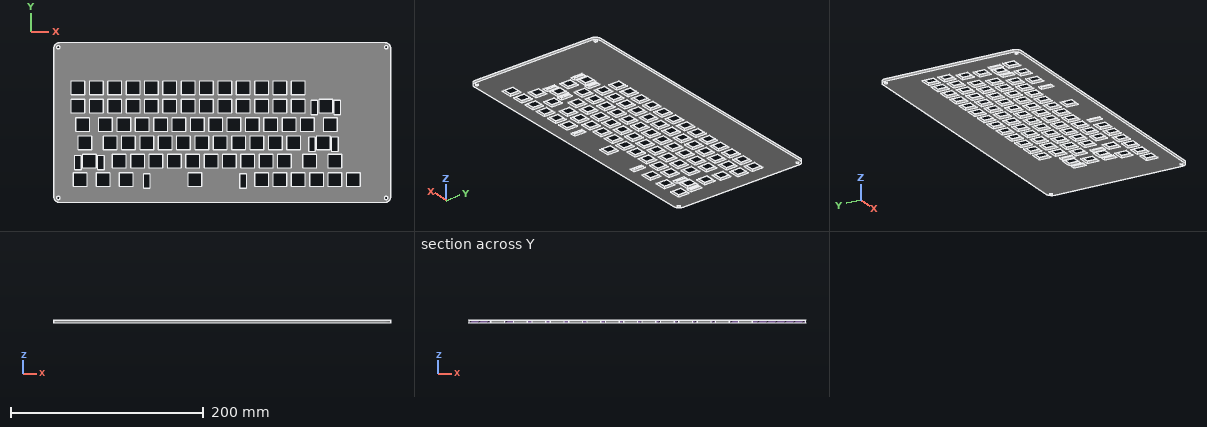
import cadquery as cq

plate_length = 350.2
plate_width = 166.5
plate_thickness = 3.0
corner_radius = 6.5

screw_hole_diameter = 3.4
screw_hole_inset = 5.0

top_row_keys = 13
top_row_span = 228.7
key_pitch = top_row_span / (top_row_keys - 1)
switch_opening = 14.0
grid_left = -159.5
top_row_y = 36.0

slot_width = 6.5
slot_height = 14.7
slot_drop = 1.5
wide_key_slot_offset = 12.0
space_bar_slot_offset = 50.0
space_bar_units = 6.25
stabilized_units = 2.0

key_rows = [
    [1] * top_row_keys,
    [1] * top_row_keys + [2],
    [1.5] + [1] * 12 + [1.5],
    [1.75] + [1] * 11 + [2.25],
    [2.25] + [1] * 10 + [1.75, 1],
    [1.25] * 3 + [space_bar_units] + [1] * 6,
]


def place_keys(rows):
    """Return (x, y, width in key units) for every key centre."""
    keys = []
    for row_index, widths in enumerate(rows):
        y = top_row_y - row_index * key_pitch
        left = grid_left
        for units in widths:
            keys.append((left + units * key_pitch / 2, y, units))
            left += units * key_pitch
    return keys


def stabilizer_centres(keys):
    """Return the centres of the slot pairs beside the wide keys."""
    centres = []
    for x, y, units in keys:
        if units < stabilized_units:
            continue
        offset = space_bar_slot_offset if units == space_bar_units else wide_key_slot_offset
        for side in (-1, 1):
            centres.append((x + side * offset, y - slot_drop))
    return centres


def through_openings(centres, width, height):
    """Return rectangular cutters that pass through the plate."""
    return (
        cq.Workplane("XY")
        .pushPoints(centres)
        .rect(width, height)
        .extrude(plate_thickness)
    )


keys = place_keys(key_rows)
switch_centres = [(x, y) for x, y, _ in keys]

plate = (
    cq.Workplane("XY")
    .box(plate_length, plate_width, plate_thickness, centered=(True, True, False))
    .edges("|Z")
    .fillet(corner_radius)
)

screw_holes = (
    cq.Workplane("XY")
    .rect(plate_length - 2 * screw_hole_inset, plate_width - 2 * screw_hole_inset, forConstruction=True)
    .vertices()
    .circle(screw_hole_diameter / 2)
    .extrude(plate_thickness)
)

result = (
    plate
    .cut(screw_holes)
    .cut(through_openings(switch_centres, switch_opening, switch_opening))
    .cut(through_openings(stabilizer_centres(keys), slot_width, slot_height))
)